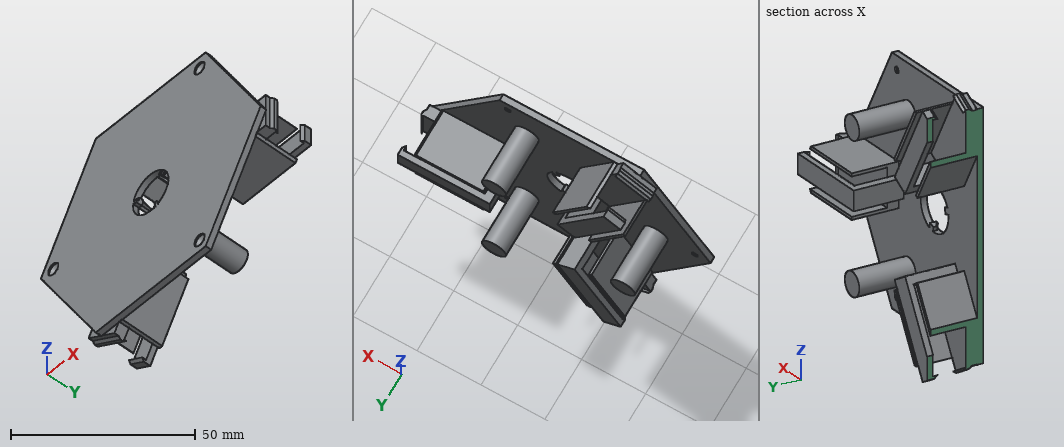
import cadquery as cq
import math

total_length = 88.7
plate_radius = 44.0
plate_thickness = 2.0
total_depth = 20.0
center_hole_diameter = 14.2

tab_inner_radius = 5.6
tab_half_width = 1.0
tab_root_overlap = 0.4
tab_recess_depth = 0.6
tab_angle = 45

screw_radius = 39.0
screw_diameter = 1.9
screw_head_diameter = 4.1
screw_counterbore_depth = 0.4
screw_cone_end_depth = 1.5

post_radius = 26.9
post_diameter = 7.5

module_gap = 12.0
wall_thickness = 1.0
wall_inner_radius = 18.5
wall_outer_radius = 40.2
wall_end_slant = 0.6
wall_top = 16.9

base_end_radius = 43.8
base_nose_radius = 44.4
base_top = 5.7
base_slope_start = 3.55
base_nose_start = 4.6
base_lip_top = 6.5

arm_width = 6.2
arm_leg_radius = 15.9
arm_thickness = 1.95
arm_top = 18.0
arm_end_radius = total_length - plate_radius
arm_lip_radius = 43.9
arm_lip_bottom = 14.6
arm_nose_bottom = 15.6

module_angles = [0, 120, 240]
post_angles = [60, 180, 300]


def turned(shape, angle):
    """Turn a shape about the Y axis, from +X toward +Z."""
    return shape.rotate((0, 0, 0), (0, 1, 0), -angle)


def add_around(body, shape, angles):
    """Join a copy of the shape to the body at each angle."""
    for angle in angles:
        body = body.union(turned(shape, angle))
    return body


def disc_at(radius, diameter, start, end):
    """Cylinder along Y, placed on the X axis."""
    return (
        cq.Workplane("XZ", origin=(radius, start, 0))
        .circle(diameter / 2)
        .extrude(start - end)
    )


def profile_block(points, width):
    """Extrude an outline of (radius, Y) points evenly to both sides in Z."""
    return cq.Workplane("XY").polyline(points).close().extrude(width / 2, both=True)


def make_plate():
    corners = [
        (
            plate_radius * math.cos(math.radians(angle)),
            plate_radius * math.sin(math.radians(angle)),
        )
        for angle in range(0, 360, 60)
    ]
    plate = cq.Workplane("XZ").polyline(corners).close().extrude(-plate_thickness)
    return plate.cut(disc_at(0, center_hole_diameter, 0, plate_thickness))


def make_tab():
    """Tab with one half the full plate thickness and the other half recessed."""
    length = center_hole_diameter / 2 + tab_root_overlap - tab_inner_radius
    full_half = cq.Workplane("XY").box(
        length, plate_thickness, tab_half_width, centered=False
    )
    recessed_half = cq.Workplane("XY").box(
        length, plate_thickness - tab_recess_depth, tab_half_width, centered=False
    )
    recessed_half = recessed_half.translate((0, tab_recess_depth, -tab_half_width))
    return full_half.union(recessed_half).translate((tab_inner_radius, 0, 0))


def make_screw_cutter():
    head = screw_head_diameter / 2
    shank = screw_diameter / 2
    half_section = [
        (0, 0),
        (head, 0),
        (head, screw_counterbore_depth),
        (shank, screw_cone_end_depth),
        (shank, plate_thickness),
        (0, plate_thickness),
    ]
    cutter = cq.Workplane("XY").polyline(half_section).close()
    return cutter.revolve(360, (0, 0, 0), (0, 1, 0)).translate((screw_radius, 0, 0))


def make_wall():
    """Side wall on the +Z side; its outer end is slanted."""
    inner_face = module_gap / 2
    outer_face = inner_face + wall_thickness
    outline = [
        (wall_inner_radius, inner_face),
        (wall_outer_radius, inner_face),
        (wall_outer_radius - wall_end_slant, outer_face),
        (wall_inner_radius, outer_face),
    ]
    wall = cq.Workplane("XZ", origin=(0, plate_thickness, 0)).polyline(outline).close()
    return wall.extrude(plate_thickness - wall_top)


def make_base():
    """Block between the walls whose outer end carries a snap lip."""
    outline = [
        (wall_inner_radius, plate_thickness),
        (base_end_radius, plate_thickness),
        (base_end_radius, base_slope_start),
        (base_nose_radius, base_nose_start),
        (base_nose_radius, base_top),
        (base_end_radius, base_lip_top),
        (base_end_radius, base_top),
        (wall_inner_radius, base_top),
    ]
    return profile_block(outline, module_gap)


def make_arm():
    """Leg rising from the plate, bent outward, with a snap lip at its end."""
    underside = arm_top - arm_thickness
    outline = [
        (arm_leg_radius, plate_thickness),
        (wall_inner_radius, plate_thickness),
        (wall_inner_radius, underside),
        (arm_lip_radius, underside),
        (arm_lip_radius, arm_lip_bottom),
        (arm_end_radius, arm_nose_bottom),
        (arm_end_radius, arm_top),
        (arm_leg_radius, arm_top),
    ]
    return profile_block(outline, arm_width)


body = make_plate()
for angle in post_angles:
    body = body.cut(turned(make_screw_cutter(), angle))

post = disc_at(post_radius, post_diameter, plate_thickness, total_depth)
wall = make_wall()

body = add_around(body, make_tab(), [angle + tab_angle for angle in module_angles])
body = add_around(body, post, post_angles)
for module_piece in (wall, wall.mirror("XY"), make_base(), make_arm()):
    body = add_around(body, module_piece, module_angles)

result = body